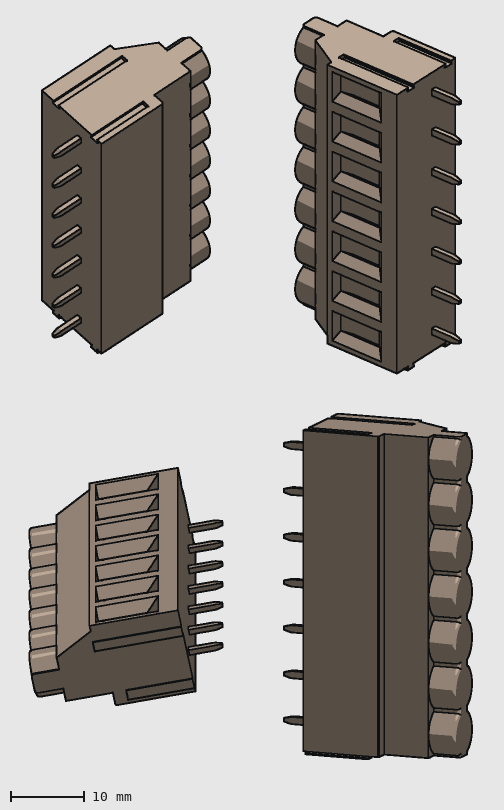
import cadquery as cq


overall_length = 45.05

pole_count = 7
pole_pitch = 6.35
housing_length = pole_count * pole_pitch
pole_centers = [(i + 0.5) * pole_pitch for i in range(pole_count)]

housing_depth = 12.5
back_step_depth = 10.55
back_step_height = 11.1
back_corner_chamfer = 0.2
ledge_depth = 0.85
ledge_height = 12.25
slope_top_depth = 3.87
shoulder_height = 17.55

tower_top = 21.45
tower_height = tower_top - shoulder_height
tower_radius = 3.25
tower_center_x = 7.15
tower_wall_width = 2.9
tower_edge_radius = 0.45

pocket_bottom = 2.75
pocket_top = 11.4
pocket_length = 4.75
funnel_depth = 1.85
funnel_inset = 0.7
pocket_depth = 2.2
floor_slant_height = 1.8

dovetail_height = overall_length - housing_length
dovetail_lip = 0.2
dovetail_flare = 0.2
front_dovetail_x = 2.97
front_dovetail_neck = 1.05
back_dovetail_x = 11.0
back_dovetail_neck = 1.1
back_dovetail_run = 9.2

pin_x = 7.85
pin_width = 0.75
pin_thickness = 1.0
pin_length = 4.65
pin_tip_width = 0.45
pin_width_taper = 0.85
pin_thickness_taper = 1.15
pin_root = 0.45


def make_housing():
    outline = [
        (0, 0),
        (housing_depth, 0),
        (housing_depth, back_step_height - back_corner_chamfer),
        (housing_depth - back_corner_chamfer, back_step_height),
        (back_step_depth, back_step_height),
        (back_step_depth, shoulder_height),
        (slope_top_depth, shoulder_height),
        (ledge_depth, ledge_height),
        (0, ledge_height),
    ]
    return cq.Workplane("XY").polyline(outline).close().extrude(housing_length)


def make_towers():
    """Round towers joined by a flat wall, all cut flush with the housing ends."""
    wall = (
        cq.Workplane("XY")
        .box(tower_wall_width, tower_height, housing_length, centered=(True, False, False))
        .edges("|Z and >Y")
        .fillet(tower_edge_radius)
        .translate((tower_center_x, shoulder_height, 0))
    )
    row_bounds = (
        cq.Workplane("XY")
        .box(housing_depth, tower_height, housing_length, centered=False)
        .translate((0, shoulder_height, 0))
    )
    tower = (
        cq.Workplane("XZ")
        .circle(tower_radius)
        .extrude(-tower_height)
        .edges(">Y")
        .fillet(tower_edge_radius)
    )
    for z in pole_centers:
        wall = wall.union(tower.translate((tower_center_x, shoulder_height, z)))
    return wall.intersect(row_bounds)


def make_pocket():
    """Wire entry centred on Z = 0: side profile crossed with a funnel that narrows along Z."""
    side_outline = [
        (0, pocket_bottom),
        (pocket_depth, pocket_bottom + pocket_depth),
        (pocket_depth, pocket_top - floor_slant_height),
        (funnel_depth, pocket_top),
        (0, pocket_top),
    ]
    side = cq.Workplane("XY").polyline(side_outline).close().extrude(pocket_length / 2, both=True)
    half_mouth = pocket_length / 2
    half_throat = half_mouth - funnel_inset
    funnel_outline = [
        (0, -half_mouth),
        (funnel_depth, -half_throat),
        (pocket_depth, -half_throat),
        (pocket_depth, half_throat),
        (funnel_depth, half_throat),
        (0, half_mouth),
    ]
    funnel = cq.Workplane("XZ").polyline(funnel_outline).close().extrude(-pocket_top)
    return side.intersect(funnel)


def make_dovetail(center_x, neck_width, run):
    """Dovetail bar hanging below Z = 0, running up from Y = 0."""
    half_neck = neck_width / 2
    half_foot = half_neck + dovetail_flare
    outline = [
        (-half_neck, 0),
        (half_neck, 0),
        (half_foot, dovetail_lip - dovetail_height),
        (half_foot, -dovetail_height),
        (-half_foot, -dovetail_height),
        (-half_foot, dovetail_lip - dovetail_height),
    ]
    bar = cq.Workplane("XZ").polyline(outline).close().extrude(-run)
    return bar.translate((center_x, 0, 0))


def make_tapered_blade(width, taper_length, plane, thickness):
    """Plate of the given thickness whose outline narrows to the pin tip."""
    half_width = width / 2
    half_tip = pin_tip_width / 2
    taper_start = taper_length - pin_length
    outline = [
        (-half_width, pin_root),
        (-half_width, taper_start),
        (-half_tip, -pin_length),
        (half_tip, -pin_length),
        (half_width, taper_start),
        (half_width, pin_root),
    ]
    return cq.Workplane(plane).polyline(outline).close().extrude(thickness / 2, both=True)


def make_pin():
    across_width = make_tapered_blade(pin_width, pin_width_taper, "XY", pin_thickness)
    across_thickness = make_tapered_blade(pin_thickness, pin_thickness_taper, "ZY", pin_width)
    return across_width.intersect(across_thickness)


result = make_housing().union(make_towers())

pocket = make_pocket()
pin = make_pin()
for z in pole_centers:
    result = result.cut(pocket.translate((0, 0, z)))
    result = result.union(pin.translate((pin_x, 0, z)))

dovetails = [
    make_dovetail(front_dovetail_x, front_dovetail_neck, ledge_height),
    make_dovetail(back_dovetail_x, back_dovetail_neck, back_dovetail_run),
]
for dovetail in dovetails:
    result = result.union(dovetail)
    result = result.cut(dovetail.translate((0, 0, housing_length)))